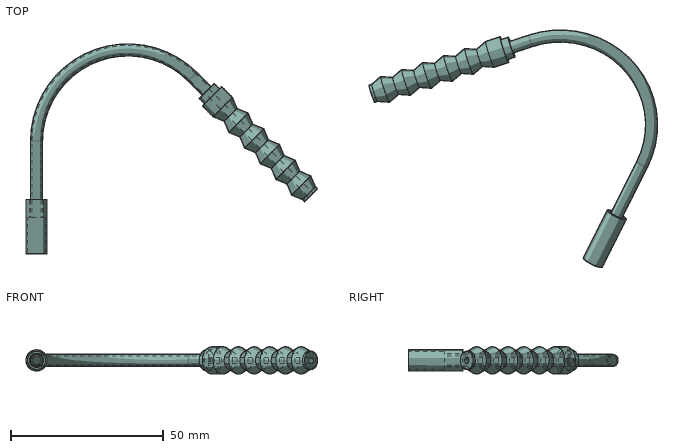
import cadquery as cq
import math

overall_length = 95.8

tube_diameter = 4.0
tube_bore = 3.0
bend_radius = 30.0
bend_angle = 135.0
inlet_length = 19.1

sleeve_diameter = 7.0
sleeve_length = 17.9
socket_diameter = 5.9
socket_depth = 12.0
tube_hole = 4.5

nozzle_diameter = 9.0
neck_diameter = 6.0
collar_diameter = 7.0
outlet_bore = 2.0
collar_length = 2.5
barrel_length = 5.0
cone_length = 3.6
rib_count = 5
lip_length = 1.0

nozzle_length = collar_length + barrel_length + (2 * rib_count + 1) * cone_length + lip_length

end_angle = math.radians(180.0 - bend_angle)
mid_angle = math.radians(180.0 - bend_angle / 2)
bend_start = (-bend_radius, 0.0)
bend_middle = (bend_radius * math.cos(mid_angle), bend_radius * math.sin(mid_angle))
bend_end = (bend_radius * math.cos(end_angle), bend_radius * math.sin(end_angle))
outlet_direction = (math.sin(end_angle), -math.cos(end_angle))

x_max = overall_length - bend_radius - sleeve_diameter / 2
tip_reach = x_max - bend_end[0] - neck_diameter / 2 * math.cos(end_angle)
outlet_length = tip_reach / outlet_direction[0] - nozzle_length
nozzle_base = tuple(p + outlet_length * d for p, d in zip(bend_end, outlet_direction))

sleeve_top = -inlet_length
sleeve_mouth = sleeve_top - sleeve_length
socket_floor = sleeve_mouth + socket_depth


def make_tube():
    """Hollow tube from the socket floor, round the bend, to the back of the nozzle."""
    path = (
        cq.Workplane("XY")
        .moveTo(-bend_radius, socket_floor)
        .lineTo(*bend_start)
        .threePointArc(bend_middle, bend_end)
        .lineTo(*nozzle_base)
    )
    start = cq.Plane(origin=(-bend_radius, socket_floor, 0), xDir=(1, 0, 0), normal=(0, 1, 0))
    section = cq.Workplane(start).circle(tube_diameter / 2).circle(tube_bore / 2)
    return section.sweep(path)


def make_sleeve():
    """Round sleeve with an open socket at its mouth and a clearance hole for the tube."""
    mouth = cq.Plane(origin=(-bend_radius, sleeve_mouth, 0), xDir=(1, 0, 0), normal=(0, 1, 0))
    body = cq.Workplane(mouth).circle(sleeve_diameter / 2).extrude(sleeve_length)
    socket = cq.Workplane(mouth).circle(socket_diameter / 2).extrude(socket_depth)
    hole = cq.Workplane(mouth).circle(tube_hole / 2).extrude(sleeve_length)
    return body.cut(socket).cut(hole)


def make_nozzle():
    """Revolved nozzle: collar, barrel, row of double-cone ribs, short tip lip and bore."""
    side = (-outlet_direction[1], outlet_direction[0], 0)
    base = cq.Plane(origin=(*nozzle_base, 0), xDir=(0, 0, 1), normal=side)
    bore_radius = outlet_bore / 2
    collar_radius = collar_diameter / 2
    peak_radius = nozzle_diameter / 2
    neck_radius = neck_diameter / 2

    barrel_end = collar_length + barrel_length
    profile = [
        (bore_radius, 0),
        (collar_radius, 0),
        (collar_radius, collar_length),
        (peak_radius, collar_length),
        (peak_radius, barrel_end),
        (neck_radius, barrel_end + cone_length),
    ]
    for rib in range(1, rib_count + 1):
        peak = barrel_end + 2 * rib * cone_length
        profile.append((peak_radius, peak))
        profile.append((neck_radius, peak + cone_length))
    profile.append((neck_radius, nozzle_length))
    profile.append((bore_radius, nozzle_length))
    return cq.Workplane(base).polyline(profile).close().revolve(360, (0, 0, 0), (0, 1, 0))


tube = make_tube()
sleeve = make_sleeve()
nozzle = make_nozzle()

result = cq.Compound.makeCompound([tube.val(), sleeve.val(), nozzle.val()])